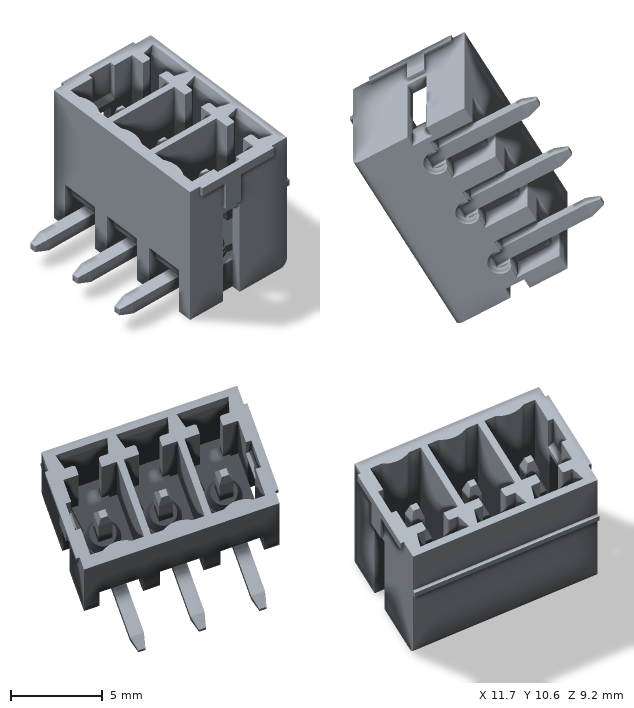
import cadquery as cq

body_width = 11.3
body_depth = 7.0
body_height = 9.2
rear_bottom_radius = 0.49

rib_projection = 0.2
rib_bottom = 5.64
rib_height = 0.4
key_projection = 0.2
key_bar_front = 0.73
key_bar_rear = 5.89
key_bar_height = 0.58
key_stem_front = 2.43
key_stem_rear = 3.5
key_stem_height = 2.48

pole_pitch = 3.5
pole_positions = (-pole_pitch, 0, pole_pitch)
cell_width = 3.1
cell_front = 0.67
cell_rear = 5.12
cell_floor = 1.94
bump_half_width = 0.84
bump_height = 0.23
ledge_rear = 2.07
ledge_top = 2.41

throat_width = 1.33
throat_rear = 5.71
throat_radius = 0.15
dovetail_rear = 6.39
dovetail_lead_rear = 6.58
dovetail_floor = 1.4
dovetail_lead_height = 0.56
dovetail_front_width = 2.53
dovetail_rear_width = 3.0

pad_lower_radius = 1.13
pad_lower_top = 2.21
pad_upper_radius = 1.09
pad_rear_half_width = 1.09
pad_waist_half_width = 0.88
collar_radius = 1.01
collar_top_radius = 0.75
collar_top = 3.25

window_front = 2.39
window_rear = 3.58
window_top = 6.31
recess_front = 2.25
recess_rear = 3.84
recess_depth = 0.32

foot_width = 2.5
foot_top = 3.0
foot_recess_depth = 0.49
foot_slope_top = 1.95
foot_slope_height = 0.18
foot_slope_depth = 0.1
foot_step_height = 0.26
foot_step_depth = 0.06

hole_radius = 0.69
hole_depth = 0.26
cone_height = 0.18

pin_size = 0.81
pin_tip_size = 0.41
pin_tip_length = 0.82
pin_y = 3.02
pin_z = 1.19
pin_top = 7.55
pin_front = -3.4

side_x = body_width / 2
cell_side_x = pole_pitch + cell_width / 2
pin_half = pin_size / 2
pin_bottom = pin_z - pin_half
foot_rear = pin_y - pin_half
channel_floor = ledge_top


def box(x_min, x_max, y_min, y_max, z_min, z_max):
    """Axis-aligned block given by its limits."""
    size = (x_max - x_min, y_max - y_min, z_max - z_min)
    return cq.Workplane("XY").box(*size, centered=False).translate((x_min, y_min, z_min))


def centered_box(x, width, y_min, y_max, z_min, z_max):
    """Block centred on x."""
    return box(x - width / 2, x + width / 2, y_min, y_max, z_min, z_max)


def on_both_sides(solid):
    """A solid together with its mirror image across the middle of the part."""
    return solid.union(solid.mirror("YZ"))


def housing():
    block = centered_box(0, body_width, 0, body_depth, 0, body_height)
    block = block.edges("|X and >Y and <Z").fillet(rear_bottom_radius)
    rib = centered_box(
        0, body_width, body_depth, body_depth + rib_projection, rib_bottom, rib_bottom + rib_height
    )
    return block.union(rib)


def side_key():
    """T-shaped key standing on the -X side."""
    outer_x = -side_x - key_projection
    bar = box(outer_x, -side_x, key_bar_front, key_bar_rear, body_height - key_bar_height, body_height)
    stem = box(outer_x, -side_x, key_stem_front, key_stem_rear, body_height - key_stem_height, body_height)
    return bar.union(stem)


def key_recess():
    """Recess in the outer cell wall behind the key, ending in a 45 degree slope."""
    recess_bottom = body_height - key_stem_height
    return (
        cq.Workplane("XZ", origin=(0, recess_rear, 0))
        .moveTo(-cell_side_x, body_height)
        .lineTo(-cell_side_x - recess_depth, body_height)
        .lineTo(-cell_side_x - recess_depth, recess_bottom + recess_depth)
        .lineTo(-cell_side_x, recess_bottom)
        .close()
        .extrude(recess_rear - recess_front)
    )


def cell(x):
    """Plug cell with a shallow round bump along its front wall."""
    half_width = cell_width / 2
    return (
        cq.Workplane("XY", origin=(x, 0, cell_floor))
        .moveTo(-half_width, cell_front)
        .lineTo(-bump_half_width, cell_front)
        .threePointArc((0, cell_front + bump_height), (bump_half_width, cell_front))
        .lineTo(half_width, cell_front)
        .lineTo(half_width, cell_rear)
        .lineTo(-half_width, cell_rear)
        .close()
        .extrude(body_height - cell_floor)
    )


def dovetail_half_width(y):
    """Half width of the dovetail, whose flanks open evenly toward the rear."""
    flare = (dovetail_rear_width - dovetail_front_width) / (dovetail_lead_rear - throat_rear)
    return (dovetail_front_width + flare * (y - throat_rear)) / 2


def latch_channel(x):
    """Throat and dovetail behind a cell, with a sloped lead-in on the rear wall."""
    front_half = dovetail_half_width(throat_rear)
    rear_half = dovetail_half_width(dovetail_lead_rear)
    throat_half = throat_width / 2
    throat_round = throat_rear - throat_radius
    throat = (
        cq.Workplane("XY", origin=(x, 0, channel_floor))
        .moveTo(-throat_half, cell_rear)
        .lineTo(throat_half, cell_rear)
        .lineTo(throat_half, throat_round)
        .radiusArc((throat_half + throat_radius, throat_rear), throat_radius)
        .lineTo(-throat_half - throat_radius, throat_rear)
        .radiusArc((-throat_half, throat_round), throat_radius)
        .close()
        .extrude(body_height - channel_floor)
    )
    dovetail = (
        cq.Workplane("XY", origin=(x, 0, dovetail_floor))
        .moveTo(-front_half, throat_rear)
        .lineTo(front_half, throat_rear)
        .lineTo(rear_half, dovetail_lead_rear)
        .lineTo(-rear_half, dovetail_lead_rear)
        .close()
        .extrude(body_height - dovetail_floor)
    )
    rear_profile = (
        cq.Workplane("YZ", origin=(x - rear_half, 0, 0))
        .moveTo(throat_rear, dovetail_floor)
        .lineTo(dovetail_rear, dovetail_floor)
        .lineTo(dovetail_rear, body_height - dovetail_lead_height)
        .lineTo(dovetail_lead_rear, body_height)
        .lineTo(throat_rear, body_height)
        .close()
        .extrude(2 * rear_half)
    )
    return throat.union(dovetail.intersect(rear_profile))


def foot_pocket(x):
    """Pocket around the bent end of a pin, open to the front and the bottom."""
    slope_bottom = foot_slope_top - foot_slope_height
    return (
        cq.Workplane("YZ", origin=(x - foot_width / 2, 0, 0))
        .moveTo(0, 0)
        .lineTo(0, foot_top)
        .lineTo(foot_recess_depth, foot_top)
        .lineTo(foot_recess_depth, foot_slope_top)
        .lineTo(foot_recess_depth + foot_slope_depth, slope_bottom)
        .lineTo(foot_rear, slope_bottom)
        .lineTo(foot_rear, foot_step_height)
        .lineTo(foot_rear + foot_step_depth, foot_step_height)
        .lineTo(foot_rear + foot_step_depth, 0)
        .close()
        .extrude(foot_width)
    )


def collar(x):
    """Keyhole-shaped pad with a tapered collar around the pin, and the ledge in front."""
    waist_y = pin_y + (pad_upper_radius**2 - pad_waist_half_width**2) ** 0.5
    floor = cq.Workplane("XY", origin=(x, 0, cell_floor))
    wedge = (
        floor.moveTo(-pad_waist_half_width, waist_y)
        .lineTo(-pad_rear_half_width, cell_rear)
        .lineTo(pad_rear_half_width, cell_rear)
        .lineTo(pad_waist_half_width, waist_y)
        .lineTo(0, pin_y)
        .close()
        .extrude(ledge_top - cell_floor)
    )
    ledge = centered_box(x, cell_width, cell_front, ledge_rear, cell_floor, ledge_top)
    body = (
        cq.Workplane("XZ", origin=(x, pin_y, 0))
        .moveTo(0, cell_floor)
        .lineTo(pad_lower_radius, cell_floor)
        .lineTo(pad_lower_radius, pad_lower_top)
        .lineTo(pad_upper_radius, pad_lower_top)
        .lineTo(pad_upper_radius, ledge_top)
        .lineTo(collar_radius, ledge_top)
        .lineTo(collar_top_radius, collar_top)
        .lineTo(0, collar_top)
        .close()
        .revolve(360, (0, 0, 0), (0, 1, 0))
    )
    return wedge.union(ledge).union(body)


def insertion_hole(x):
    """Hole from the bottom, round and then conical, leading into the square passage of the pin."""
    cone_top = hole_depth + cone_height
    funnel = (
        cq.Workplane("XZ", origin=(x, pin_y, 0))
        .lineTo(hole_radius, 0)
        .lineTo(hole_radius, hole_depth)
        .lineTo(hole_radius - cone_height, cone_top)
        .lineTo(0, cone_top)
        .close()
        .revolve(360, (0, 0, 0), (0, 1, 0))
    )
    passage = centered_box(x, pin_size, pin_y - pin_half, pin_y + pin_half, 0, pin_bottom)
    return funnel.union(passage)


def pin_tip(base):
    """Blunt pyramid growing along the normal of the given plane."""
    return (
        cq.Workplane(base)
        .rect(pin_size, pin_size)
        .workplane(offset=pin_tip_length)
        .rect(pin_tip_size, pin_tip_size)
        .loft(ruled=True)
    )


def pin(x):
    """Square pin: an upright contact blade and a solder tail running to the front."""
    blade_end = pin_top - pin_tip_length
    tail_end = pin_front + pin_tip_length
    blade = centered_box(x, pin_size, pin_y - pin_half, pin_y + pin_half, pin_bottom, blade_end)
    tail = centered_box(x, pin_size, tail_end, pin_y + pin_half, pin_bottom, pin_z + pin_half)
    blade_tip = pin_tip(cq.Plane(origin=(x, pin_y, blade_end), normal=(0, 0, 1)))
    tail_tip = pin_tip(cq.Plane(origin=(x, tail_end, pin_z), xDir=(1, 0, 0), normal=(0, -1, 0)))
    return blade.union(tail).union(blade_tip).union(tail_tip)


result = housing().union(on_both_sides(side_key()))

for pole_x in pole_positions:
    result = result.cut(cell(pole_x)).cut(latch_channel(pole_x)).cut(foot_pocket(pole_x))
    result = result.cut(insertion_hole(pole_x))

window = box(-side_x, -cell_side_x, window_front, window_rear, 0, window_top)
result = result.cut(on_both_sides(window)).cut(on_both_sides(key_recess()))

for pole_x in pole_positions:
    result = result.union(collar(pole_x)).union(pin(pole_x))